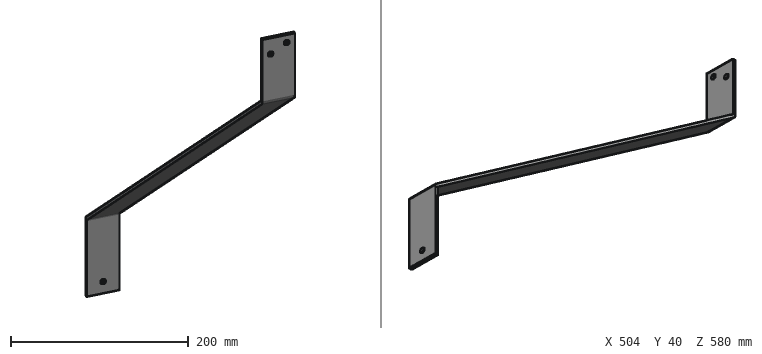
import cadquery as cq
import math

length = 504.0
width = 40.0
height = 580.0
thickness = 4.0

lower_leg = 100.5
upper_leg = 80.0
inner_bend_radius = 1.0
outer_bend_radius = inner_bend_radius + thickness

hole_diameter = 6.5
lower_hole_height = 15.0
upper_hole_offset = 10.0
upper_hole_depths = (10.0, 20.5)

slope_start_z = lower_leg
slope_end_z = height - upper_leg
slope_angle = math.atan2(slope_end_z - slope_start_z, length - thickness)

bend_angle = math.pi / 2 - slope_angle
mitre_drop = thickness * math.tan(bend_angle / 2)


def make_strap():
    """Constant-thickness strap with two opposite, rounded bends."""
    outline = [
        (0, 0),
        (thickness, 0),
        (thickness, slope_start_z - mitre_drop),
        (length, slope_end_z - mitre_drop),
        (length, height),
        (length - thickness, height),
        (length - thickness, slope_end_z),
        (0, slope_start_z),
    ]
    strap = cq.Workplane("XZ").polyline(outline).close().extrude(width / 2, both=True)

    def corner_edge(x, z):
        return cq.selectors.NearestToPointSelector((x, 0, z))

    strap = strap.edges(corner_edge(0, slope_start_z)).fillet(outer_bend_radius)
    strap = strap.edges(corner_edge(length, slope_end_z - mitre_drop)).fillet(outer_bend_radius)
    strap = strap.edges(corner_edge(thickness, slope_start_z - mitre_drop)).fillet(inner_bend_radius)
    return strap.edges(corner_edge(length - thickness, slope_end_z)).fillet(inner_bend_radius)


def leg_hole(leg_x, y, z):
    """Cutter that passes through one leg along X."""
    return (
        cq.Workplane("YZ", origin=(leg_x, y, z))
        .circle(hole_diameter / 2)
        .extrude(thickness)
    )


result = make_strap()
result = result.cut(leg_hole(0, 0, lower_hole_height))

for side, depth in zip((1, -1), upper_hole_depths):
    result = result.cut(leg_hole(length - thickness, side * upper_hole_offset, height - depth))